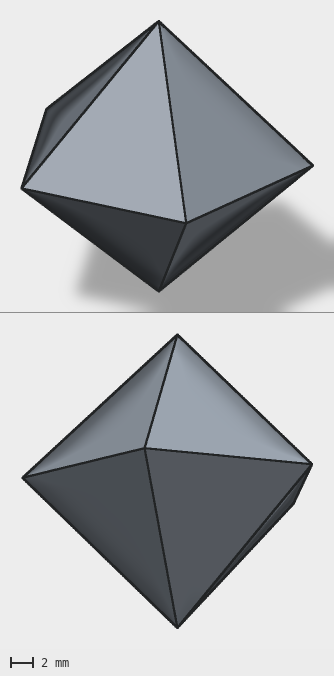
import cadquery as cq
import math

side_count = 5
height = 26.65
width = 26.28

corner_radius = width / (2 * math.sin(2 * math.pi / side_count))
first_corner_angle = math.pi / 2


def pentagon_corner(index):
    angle = first_corner_angle + index * 2 * math.pi / side_count
    return cq.Vector(corner_radius * math.cos(angle), corner_radius * math.sin(angle), 0)


def triangle_face(*corners):
    return cq.Face.makeFromWires(cq.Wire.makePolygon(corners, close=True))


upper_tip = cq.Vector(0, 0, height / 2)
lower_tip = cq.Vector(0, 0, -height / 2)

faces = []
for side in range(side_count):
    start = pentagon_corner(side)
    end = pentagon_corner(side + 1)
    faces.append(triangle_face(start, end, upper_tip))
    faces.append(triangle_face(end, start, lower_tip))

die = cq.Solid.makeSolid(cq.Shell.makeShell(faces))
result = cq.Workplane("XY").newObject([die])